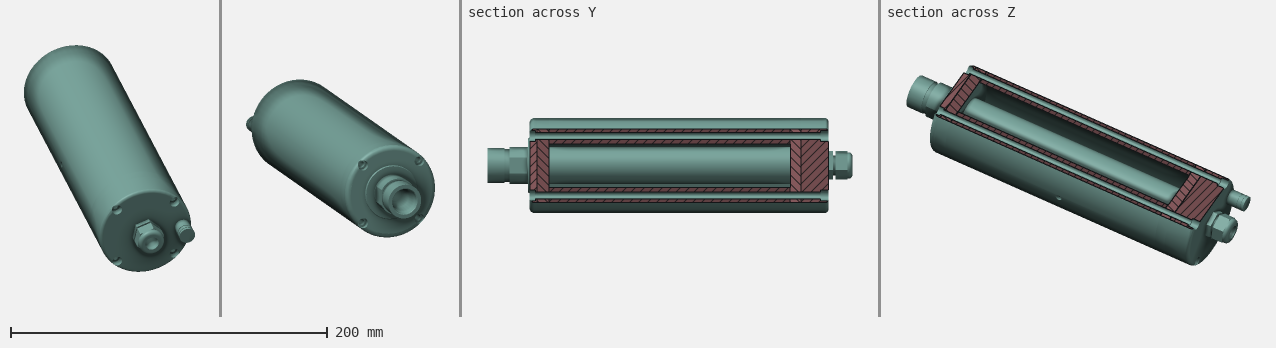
import cadquery as cq
import math


cap_face_x = 26.5
front_ring_x = 31.3
tube_x = 39.0
rear_ring_x = 191.0
rear_cap_x = 198.0
rear_face_x = 215.3
housing_radius = 30.0
tube_inner_radius = 23.0
cap_fillet = 3.0
rear_fillet = 2.0

disc_radius = 17.5
disc_height = 1.0
disc_chamfer = 0.5

bolt_square = 37.5
bolt_hole_diameter = 4.0
counterbore_diameter = 6.5
front_counterbore_depth = 3.5
rear_counterbore_depth = 5.0

ring_recess_count = 6
ring_recess_first_angle = 30.0
ring_recess_radius = bolt_square * math.sqrt(2) / 2
ring_recess_diameter = counterbore_diameter
ring_recess_depth = 3.5

side_hole_x = 121.0
side_hole_diameter = 4.1
side_hole_depth = 2.3

nose_diameter = 22.0
nose_length = 10.5
neck_radius = 10.4
collar_x = 13.8
collar_radius = 11.8
flats_end_x = 25.0
flats_width = 21.2
shaft_bore_diameter = 10.4
taper_radius = 8.0
mouth_chamfer = 0.5
taper_angle = 8.0

gland_hex_width = 16.0
gland_hex_turn = 18.0
gland_base_length = 3.0
gland_neck_radius = 6.2
gland_nut_x = 220.0
gland_dome_x = 227.3
gland_dome_radius = 8.3
gland_dome_fillet = 2.3
gland_end_x = 230.5
gland_bore_radius = 4.4

fitting_y = 24.0
fitting_radius = 5.0
fitting_end_x = 227.0
fitting_groove_width = 0.7
fitting_groove_depth = 0.35
fitting_groove_starts = (222.2, 225.0)


def along_x(start):
    """Workplane facing +X at the given axial position, its local axes along Y and Z."""
    return cq.Workplane("YZ", origin=(start, 0, 0))


def cylinder(start, end, radius, y=0.0):
    return along_x(start).center(y, 0).circle(radius).extrude(end - start)


def corner_bolts(start, end, diameter):
    """Four cylinders on the bolt square."""
    square = along_x(start).rect(bolt_square, bolt_square, forConstruction=True).vertices()
    return square.circle(diameter / 2).extrude(end - start)


def housing_section(start, end, bore_radius):
    """Round housing section with a central bore and the four bolt holes."""
    section = cylinder(start, end, housing_radius).cut(cylinder(start, end, bore_radius))
    return section.cut(corner_bolts(start, end, bolt_hole_diameter))


def make_front_cap():
    cap = cylinder(cap_face_x, front_ring_x, housing_radius).faces("<X").edges().fillet(cap_fillet)
    disc_x = cap_face_x - disc_height
    disc = cylinder(disc_x, cap_face_x, disc_radius).faces("<X").edges().chamfer(disc_chamfer)
    cap = cap.union(disc)
    cap = cap.cut(cylinder(disc_x, front_ring_x, collar_radius))
    cap = cap.cut(corner_bolts(cap_face_x, front_ring_x, bolt_hole_diameter))
    counterbore_end = cap_face_x + front_counterbore_depth
    return cap.cut(corner_bolts(cap_face_x, counterbore_end, counterbore_diameter))


def make_tube():
    tube = housing_section(tube_x, rear_ring_x, tube_inner_radius)
    side_face = cq.Workplane("XZ", origin=(side_hole_x, -housing_radius, 0))
    return tube.cut(side_face.circle(side_hole_diameter / 2).extrude(-side_hole_depth))


def make_rear_ring():
    ring = housing_section(rear_ring_x, rear_cap_x, collar_radius)
    recess_floor = along_x(rear_cap_x - ring_recess_depth)
    recesses = recess_floor.polarArray(ring_recess_radius, ring_recess_first_angle, 360, ring_recess_count)
    return ring.cut(recesses.circle(ring_recess_diameter / 2).extrude(ring_recess_depth))


def make_rear_cap():
    cap = cylinder(rear_cap_x, rear_face_x, housing_radius).faces(">X").edges().fillet(rear_fillet)
    cap = cap.cut(cylinder(rear_cap_x, rear_face_x, gland_bore_radius))
    cap = cap.cut(corner_bolts(rear_cap_x, rear_face_x, bolt_hole_diameter))
    counterbore_start = rear_face_x - rear_counterbore_depth
    return cap.cut(corner_bolts(counterbore_start, rear_face_x, counterbore_diameter))


def make_shaft():
    """Hollow shaft from the nose tip to the rear cap, with a tapered mouth."""
    taper_length = (taper_radius - shaft_bore_diameter / 2) / math.tan(math.radians(taper_angle))
    profile = [
        (mouth_chamfer, taper_radius),
        (0, taper_radius + mouth_chamfer),
        (0, nose_diameter / 2),
        (nose_length, nose_diameter / 2),
        (nose_length, neck_radius),
        (collar_x, neck_radius),
        (collar_x, collar_radius),
        (rear_cap_x, collar_radius),
        (rear_cap_x, shaft_bore_diameter / 2),
        (mouth_chamfer + taper_length, shaft_bore_diameter / 2),
    ]
    shaft = cq.Workplane("XY").polyline(profile).close().revolve(360, (0, 0, 0), (1, 0, 0))
    flats_length = flats_end_x - collar_x
    across = 2 * collar_radius
    blank = along_x(collar_x).rect(across, across).extrude(flats_length)
    kept = along_x(collar_x).rect(flats_width, across).extrude(flats_length)
    return shaft.cut(blank.cut(kept))


def gland_hexagon(start, end):
    corner_diameter = 2 * gland_hex_width / math.sqrt(3)
    hexagon = along_x(start).polygon(6, corner_diameter).extrude(end - start)
    return hexagon.rotate((0, 0, 0), (1, 0, 0), gland_hex_turn)


def make_gland():
    gland = cylinder(gland_dome_x, gland_end_x, gland_dome_radius)
    gland = gland.faces(">X").edges().fillet(gland_dome_fillet)
    gland = gland.union(gland_hexagon(gland_nut_x, gland_dome_x))
    gland = gland.union(cylinder(rear_face_x, gland_nut_x, gland_neck_radius))
    gland = gland.union(gland_hexagon(rear_face_x, rear_face_x + gland_base_length))
    return gland.cut(cylinder(rear_face_x, gland_end_x, gland_bore_radius))


def make_air_fitting():
    fitting = cylinder(rear_face_x, fitting_end_x, fitting_radius, fitting_y)
    core_radius = fitting_radius - fitting_groove_depth
    for start in fitting_groove_starts:
        end = start + fitting_groove_width
        groove = cylinder(start, end, fitting_radius, fitting_y)
        fitting = fitting.cut(groove.cut(cylinder(start, end, core_radius, fitting_y)))
    return fitting


front_cap = make_front_cap()
front_ring = housing_section(front_ring_x, tube_x, collar_radius)
tube = make_tube()
rear_ring = make_rear_ring()
rear_cap = make_rear_cap()
shaft = make_shaft()
gland = make_gland()
air_fitting = make_air_fitting()

result = cq.Compound.makeCompound([
    front_cap.val(),
    front_ring.val(),
    tube.val(),
    rear_ring.val(),
    rear_cap.val(),
    shaft.val(),
    gland.val(),
    air_fitting.val(),
])